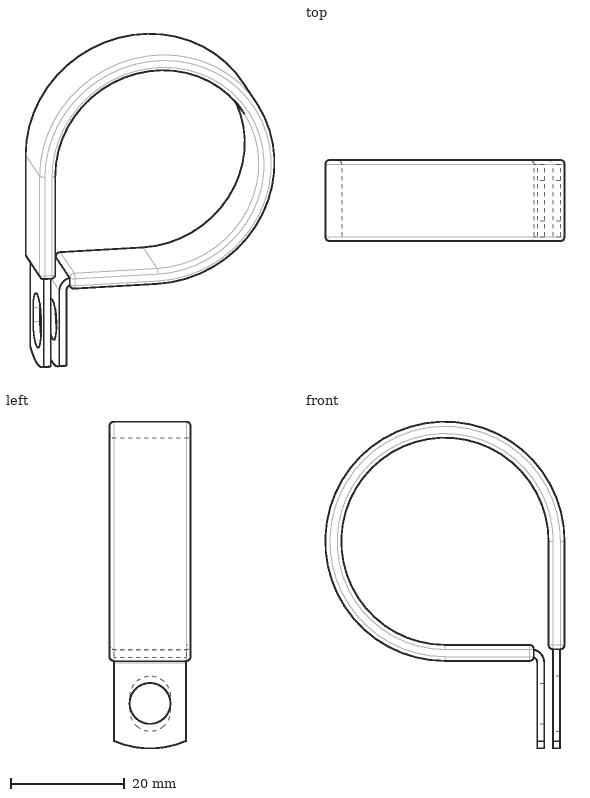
import cadquery as cq
import math


inner_radius = 18.195
cushion_wall = 0.795
strap_thickness = 1.27
strap_width = 12.7
bend_inner_radius = 1.07
tab_gap = 1.52
lower_leg_length = 15.65
tab_bottom = -36.445
tab_end_radius = 15.9
hole_diameter = 7.14
slot_length = 9.7
hole_to_bottom = 7.94

cushion_thickness = strap_thickness + 2 * cushion_wall
cushion_width = strap_width + 2 * cushion_wall
outer_radius = inner_radius + cushion_thickness
strap_inner_radius = inner_radius + cushion_wall
strap_outer_radius = strap_inner_radius + strap_thickness
bend_outer_radius = bend_inner_radius + strap_thickness

inner_tab_right = strap_inner_radius - tab_gap
inner_tab_left = inner_tab_right - strap_thickness
bend_start = inner_tab_right - bend_outer_radius
bend_end = -strap_inner_radius - bend_outer_radius
right_leg_end = -strap_inner_radius
hole_z = tab_bottom + hole_to_bottom

DIAGONAL = math.sqrt(0.5)


def extrude_centred(profile, width):
    """Extrude an XZ profile by the width, half to each side of the XZ plane."""
    return profile.extrude(width / 2, both=True)


def loop_profile(inner, outer, lower_leg_end, right_leg_end):
    """Three-quarter ring with a leg along +X at the bottom and a leg down at the right."""
    return (
        cq.Workplane("XZ")
        .moveTo(outer, right_leg_end)
        .lineTo(outer, 0)
        .threePointArc((-outer * DIAGONAL, outer * DIAGONAL), (0, -outer))
        .lineTo(lower_leg_end, -outer)
        .lineTo(lower_leg_end, -inner)
        .lineTo(0, -inner)
        .threePointArc((-inner * DIAGONAL, inner * DIAGONAL), (inner, 0))
        .lineTo(inner, right_leg_end)
        .close()
    )


def make_cushion():
    """Cushion around the strap, rounded on every edge by its wall thickness."""
    profile = loop_profile(inner_radius, outer_radius, lower_leg_length, right_leg_end)
    body = extrude_centred(profile, cushion_width)
    return body.edges().fillet(cushion_wall)


def make_strap_loop():
    """Strap inside the cushion, running straight down into the outer tab."""
    profile = loop_profile(strap_inner_radius, strap_outer_radius, bend_start, tab_bottom)
    return extrude_centred(profile, strap_width)


def make_inner_tab():
    """Bend at the end of the lower leg and the inner tab below it."""
    outer_offset = bend_outer_radius * DIAGONAL
    inner_offset = bend_inner_radius * DIAGONAL
    profile = (
        cq.Workplane("XZ")
        .moveTo(bend_start, -strap_inner_radius)
        .threePointArc(
            (bend_start + outer_offset, bend_end + outer_offset),
            (inner_tab_right, bend_end),
        )
        .lineTo(inner_tab_right, tab_bottom)
        .lineTo(inner_tab_left, tab_bottom)
        .lineTo(inner_tab_left, bend_end)
        .threePointArc(
            (bend_start + inner_offset, bend_end + inner_offset),
            (bend_start, -strap_outer_radius),
        )
        .close()
    )
    return extrude_centred(profile, strap_width)


def make_end_trim():
    """Waste below the rounded ends of both tabs."""
    half_width = strap_width / 2
    sagitta = tab_end_radius - math.sqrt(tab_end_radius**2 - half_width**2)
    corner_z = tab_bottom + sagitta
    return (
        cq.Workplane("YZ")
        .moveTo(-half_width, corner_z)
        .threePointArc((0, tab_bottom), (half_width, corner_z))
        .lineTo(half_width, tab_bottom)
        .lineTo(-half_width, tab_bottom)
        .close()
        .extrude(outer_radius)
    )


def make_bolt_holes():
    """Round bolt hole along X through both tabs, lengthened to an upright slot in the outer tab."""
    round_hole = cq.Workplane("YZ").center(0, hole_z).circle(hole_diameter / 2).extrude(outer_radius)
    slot = (
        cq.Workplane("YZ", origin=(strap_inner_radius, 0, hole_z))
        .slot2D(slot_length, hole_diameter, 90)
        .extrude(strap_thickness)
    )
    return round_hole.union(slot)


strap = make_strap_loop().union(make_inner_tab()).cut(make_end_trim()).cut(make_bolt_holes())
result = make_cushion().union(strap)